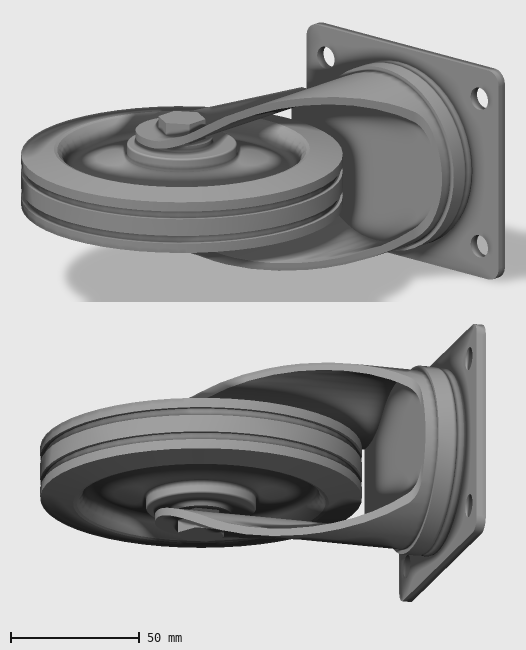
import cadquery as cq
import math


PLATE_LENGTH = 100.0
PLATE_WIDTH = 85.0
PLATE_THICKNESS = 3.7
PLATE_CORNER_RADIUS = 5.3
HOLE_DIAMETER = 9.0
HOLE_SPACING_X = 80.0
HOLE_SPACING_Z = 60.0

HEAD_RADIUS = 73.6 / 2
HEAD_TOP_CHAMFER_WIDTH = 0.4
HEAD_TOP_CHAMFER_HEIGHT = 1.0
HEAD_GROOVE_DEPTH = 1.7
HEAD_GROOVE_Y = -7.0
HEAD_BOTTOM_Y = -15.0

WHEEL_RADIUS = 125.0 / 2
WHEEL_HALF_WIDTH = 12.5
TRAIL = 40.0
OVERALL_HEIGHT = 150.0
AXLE_X = -TRAIL
AXLE_Y = WHEEL_RADIUS - OVERALL_HEIGHT
TREAD_HALF_WIDTH = 10.3
TREAD_GROOVE_RADIUS = 121.5 / 2
TREAD_GROOVE_INNER_Z = 3.4
TREAD_GROOVE_OUTER_Z = 6.5
RIM_RADIUS = 49.7
RIM_LIP_WIDTH = 1.3
RIM_LIP_DROP = 0.4
RIM_WALL_BULGE = 0.5
RIM_FOOT_RADIUS = 45.0
RIM_FOOT_Z = 6.8
DISC_OUTER_RADIUS = 41.8
DISC_OUTER_Z = 4.8
DISC_INNER_Z = 10.0
HUB_RADIUS = 42.75 / 2
HUB_HALF_WIDTH = 15.0
HUB_TOP_ROUND = 0.75
HUB_FOOT_ROUND = 0.9
COLLAR_RADIUS = 23.75 / 2
COLLAR_FOOT_ROUND = 0.8

FORK_GAP = 34.4
SHEET = 3.0
ARM_INNER_Z = FORK_GAP / 2
ARM_OUTER_Z = ARM_INNER_Z + SHEET
FORK_RADIUS = 35.0
FORK_INNER_RADIUS = FORK_RADIUS - SHEET
FORK_END_RADIUS = 18.0
FORK_LEFT_TOP_X = -42.5
WEB_THICKNESS = 4.8
WEB_BOTTOM_Y = HEAD_BOTTOM_Y - WEB_THICKNESS
SKIRT_CORNER_X = 25.8
SKIRT_CORNER_RADIUS = 8.0
FORK_BOTTOM_Y = AXLE_Y - FORK_END_RADIUS

HEX_SIDES = 6
BOLT_ACROSS_FLATS = 16.2
BOLT_HEAD_HEIGHT = 5.0


def extrude_down(sketch_on_xz, top_y, bottom_y):
    """Extrude an XZ outline, drawn at Y = 0, between two Y levels."""
    return sketch_on_xz.extrude(top_y - bottom_y).translate((0, top_y, 0))


def mounting_plate():
    plate = cq.Workplane("XZ").rect(PLATE_LENGTH, PLATE_WIDTH)
    plate = plate.extrude(PLATE_THICKNESS).edges("|Y").fillet(PLATE_CORNER_RADIUS)
    holes = (
        cq.Workplane("XZ")
        .rect(HOLE_SPACING_X, HOLE_SPACING_Z, forConstruction=True)
        .vertices()
        .circle(HOLE_DIAMETER / 2)
        .extrude(PLATE_THICKNESS)
    )
    return plate.cut(holes)


def swivel_head():
    """Two rings with rounded facing edges that meet in a groove, as one turned body."""
    groove_radius = HEAD_RADIUS - HEAD_GROOVE_DEPTH
    upper_ring_y = -PLATE_THICKNESS - HEAD_TOP_CHAMFER_HEIGHT
    lower_ring_y = HEAD_GROOVE_Y - HEAD_GROOVE_DEPTH
    arc_factor = math.sqrt(0.5)
    mid_radius = groove_radius + HEAD_GROOVE_DEPTH * arc_factor
    upper_mid_y = upper_ring_y + (HEAD_GROOVE_Y - upper_ring_y) * arc_factor
    lower_mid_y = lower_ring_y + HEAD_GROOVE_DEPTH * arc_factor
    return (
        cq.Workplane("XY")
        .moveTo(0, -PLATE_THICKNESS)
        .lineTo(HEAD_RADIUS - HEAD_TOP_CHAMFER_WIDTH, -PLATE_THICKNESS)
        .lineTo(HEAD_RADIUS, upper_ring_y)
        .threePointArc((mid_radius, upper_mid_y), (groove_radius, HEAD_GROOVE_Y))
        .threePointArc((mid_radius, lower_mid_y), (HEAD_RADIUS, lower_ring_y))
        .lineTo(HEAD_RADIUS, HEAD_BOTTOM_Y)
        .lineTo(0, HEAD_BOTTOM_Y)
        .close()
        .revolve(360, (0, 0), (0, 1))
    )


def arm_curve(sheet_radius, arm_z):
    """Tangent point and midpoint of the bend from a straight arm side to the round skirt.

    The arm side runs at height arm_z to X = -TRAIL, then bends on an arc about a point
    beyond it and joins the circle of sheet_radius about the swivel axis tangentially.
    """
    bend = (TRAIL**2 + arm_z**2 - sheet_radius**2) / (2 * (sheet_radius - arm_z))
    centre_z = arm_z + bend
    ratio = sheet_radius / (sheet_radius + bend)
    tangent = (-TRAIL * ratio, centre_z * ratio)
    half_angle = math.atan2(TRAIL, centre_z) / 2
    middle = (
        -TRAIL + bend * math.sin(half_angle),
        centre_z - bend * math.cos(half_angle),
    )
    return tangent, middle


def fork_section(sheet_radius, arm_z):
    """Filled section of the fork across Y; the arms run on past the end of the fork."""
    (tangent_x, tangent_z), (middle_x, middle_z) = arm_curve(sheet_radius, arm_z)
    end_x = AXLE_X - 2 * FORK_END_RADIUS
    return (
        cq.Workplane("XZ")
        .moveTo(end_x, arm_z)
        .lineTo(AXLE_X, arm_z)
        .threePointArc((middle_x, middle_z), (tangent_x, tangent_z))
        .threePointArc((sheet_radius, 0), (tangent_x, -tangent_z))
        .threePointArc((middle_x, -middle_z), (AXLE_X, -arm_z))
        .lineTo(end_x, -arm_z)
        .close()
    )


def tangent_point(x, y, side):
    """Point where a line from (x, y) touches the fork end circle; side is +1 or -1."""
    dx = x - AXLE_X
    dy = y - AXLE_Y
    angle = math.atan2(dy, dx) + side * math.acos(FORK_END_RADIUS / math.hypot(dx, dy))
    return (
        AXLE_X + FORK_END_RADIUS * math.cos(angle),
        AXLE_Y + FORK_END_RADIUS * math.sin(angle),
    )


def fork_side_profile():
    """Side outline of the fork, thick enough in Z to cover the whole width."""
    left = tangent_point(FORK_LEFT_TOP_X, HEAD_BOTTOM_Y, 1)
    right = tangent_point(SKIRT_CORNER_X, WEB_BOTTOM_Y, -1)
    profile = (
        cq.Workplane("XY")
        .moveTo(FORK_LEFT_TOP_X, HEAD_BOTTOM_Y)
        .lineTo(*left)
        .threePointArc((AXLE_X, FORK_BOTTOM_Y), right)
        .lineTo(SKIRT_CORNER_X, WEB_BOTTOM_Y)
        .lineTo(FORK_RADIUS, WEB_BOTTOM_Y)
        .lineTo(FORK_RADIUS, HEAD_BOTTOM_Y)
        .close()
        .extrude(FORK_RADIUS, both=True)
    )
    corner = cq.selectors.NearestToPointSelector((SKIRT_CORNER_X, WEB_BOTTOM_Y, 0))
    return profile.edges("|Z").edges(corner).fillet(SKIRT_CORNER_RADIUS)


def fork():
    outer = extrude_down(fork_section(FORK_RADIUS, ARM_OUTER_Z), HEAD_BOTTOM_Y, FORK_BOTTOM_Y)
    inner = extrude_down(fork_section(FORK_INNER_RADIUS, ARM_INNER_Z), WEB_BOTTOM_Y, FORK_BOTTOM_Y)
    return outer.cut(inner).intersect(fork_side_profile())


def half_wheel():
    """Upper half of the turned wheel with its hub and collar, about the Z axis."""
    hub_foot_radius = HUB_RADIUS + HUB_FOOT_ROUND
    hub_top_radius = HUB_RADIUS - HUB_TOP_ROUND
    collar_foot_radius = COLLAR_RADIUS + COLLAR_FOOT_ROUND
    lip_radius = RIM_RADIUS - RIM_LIP_WIDTH
    lip_z = WHEEL_HALF_WIDTH - RIM_LIP_DROP
    inset = 1 - math.sqrt(0.5)
    wall_run = lip_radius - RIM_FOOT_RADIUS
    wall_rise = lip_z - RIM_FOOT_Z
    wall_chord = math.hypot(wall_run, wall_rise)
    rim_wall_mid = (
        RIM_FOOT_RADIUS + wall_run / 2 - RIM_WALL_BULGE * wall_rise / wall_chord,
        RIM_FOOT_Z + wall_rise / 2 + RIM_WALL_BULGE * wall_run / wall_chord,
    )
    foot_mid = (
        RIM_FOOT_RADIUS - (RIM_FOOT_RADIUS - DISC_OUTER_RADIUS) * inset,
        RIM_FOOT_Z - (RIM_FOOT_Z - DISC_OUTER_Z) * (1 - inset),
    )
    hub_foot_mid = (HUB_RADIUS + HUB_FOOT_ROUND * inset, DISC_INNER_Z + HUB_FOOT_ROUND * inset)
    hub_top_mid = (HUB_RADIUS - HUB_TOP_ROUND * inset, HUB_HALF_WIDTH - HUB_TOP_ROUND * inset)
    collar_mid = (COLLAR_RADIUS + COLLAR_FOOT_ROUND * inset, HUB_HALF_WIDTH + COLLAR_FOOT_ROUND * inset)
    return (
        cq.Workplane("XZ")
        .moveTo(0, 0)
        .lineTo(WHEEL_RADIUS, 0)
        .lineTo(WHEEL_RADIUS, TREAD_GROOVE_INNER_Z)
        .lineTo(TREAD_GROOVE_RADIUS, TREAD_GROOVE_INNER_Z)
        .lineTo(TREAD_GROOVE_RADIUS, TREAD_GROOVE_OUTER_Z)
        .lineTo(WHEEL_RADIUS, TREAD_GROOVE_OUTER_Z)
        .lineTo(WHEEL_RADIUS, TREAD_HALF_WIDTH)
        .lineTo(RIM_RADIUS, WHEEL_HALF_WIDTH)
        .lineTo(lip_radius, lip_z)
        .threePointArc(rim_wall_mid, (RIM_FOOT_RADIUS, RIM_FOOT_Z))
        .threePointArc(foot_mid, (DISC_OUTER_RADIUS, DISC_OUTER_Z))
        .lineTo(hub_foot_radius, DISC_INNER_Z)
        .threePointArc(hub_foot_mid, (HUB_RADIUS, DISC_INNER_Z + HUB_FOOT_ROUND))
        .lineTo(HUB_RADIUS, HUB_HALF_WIDTH - HUB_TOP_ROUND)
        .threePointArc(hub_top_mid, (hub_top_radius, HUB_HALF_WIDTH))
        .lineTo(collar_foot_radius, HUB_HALF_WIDTH)
        .threePointArc(collar_mid, (COLLAR_RADIUS, HUB_HALF_WIDTH + COLLAR_FOOT_ROUND))
        .lineTo(COLLAR_RADIUS, ARM_INNER_Z)
        .lineTo(0, ARM_INNER_Z)
        .close()
        .revolve(360, (0, 0), (0, 1))
    )


def wheel():
    upper = half_wheel()
    return upper.union(upper.mirror("XY")).translate((AXLE_X, AXLE_Y, 0))


def axle_bolt():
    """Hexagonal heads on both arms, each starting inside its arm, with a corner toward +Y."""
    across_corners = BOLT_ACROSS_FLATS / math.cos(math.pi / HEX_SIDES)
    head = (
        cq.Workplane("XY", origin=(AXLE_X, AXLE_Y, ARM_INNER_Z))
        .transformed(rotate=(0, 0, 90))
        .polygon(HEX_SIDES, across_corners)
        .extrude(SHEET + BOLT_HEAD_HEIGHT)
    )
    return head.union(head.mirror("XY"))


result = mounting_plate().union(swivel_head()).union(fork()).union(wheel()).union(axle_bolt())